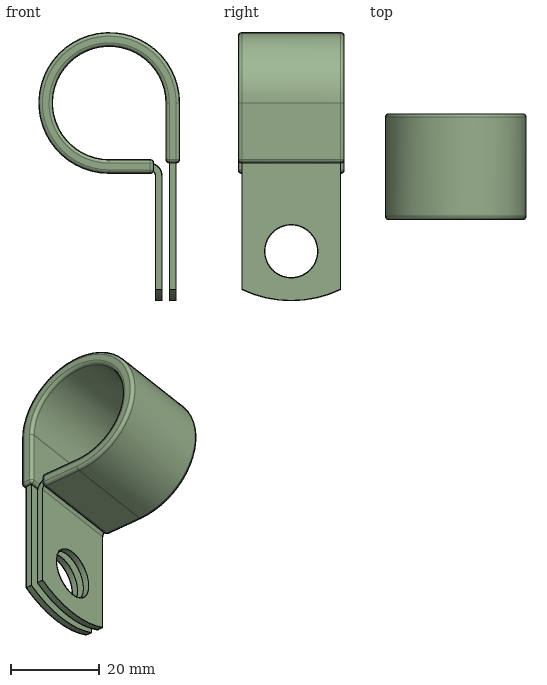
import cadquery as cq
import math

loop_diameter = 31.6
total_height = 60.25
cushion_width = 23.8
strap_thickness = 1.5
cover = 0.8
side_cushion_length = 13.45
base_cushion_length = 10.0
flange_outer_x = 11.85
bend_inner_radius = 1.3
hole_diameter = 11.85
hole_drop = 33.3
tip_sag = 2.5

cushion_outer = loop_diameter / 2
strap_outer = cushion_outer - cover
strap_inner = strap_outer - strap_thickness
cushion_inner = strap_inner - cover
strap_width = cushion_width - 2 * cover
half_width = strap_width / 2
tip_z = cushion_outer - total_height
tip_corner_z = tip_z + tip_sag
flange_inner_x = flange_outer_x - strap_thickness
bend_outer_radius = bend_inner_radius + strap_thickness
bend_x = flange_inner_x - bend_inner_radius
bend_z = -strap_outer - bend_inner_radius
diagonal = math.sqrt(0.5)


def plate(outline, width):
    """Extrude an XZ outline symmetrically about the XZ plane."""
    return outline.close().extrude(width / 2, both=True)


def loop_band(inner, outer, side_length, base_length):
    """Three-quarter ring with a straight leg down and another along +X."""
    return (
        cq.Workplane("XZ")
        .moveTo(outer, -side_length)
        .lineTo(outer, 0)
        .threePointArc((-outer * diagonal, outer * diagonal), (0, -outer))
        .lineTo(base_length, -outer)
        .lineTo(base_length, -inner)
        .lineTo(0, -inner)
        .threePointArc((-inner * diagonal, inner * diagonal), (inner, 0))
        .lineTo(inner, -side_length)
    )


def make_cushion():
    """Cushion rounded along both sides and around both ends."""
    body = plate(
        loop_band(cushion_inner, cushion_outer, side_cushion_length, base_cushion_length),
        cushion_width,
    )
    side_end = cq.selectors.BoxSelector(
        (cushion_inner - cover, -cushion_width, -side_cushion_length - cover),
        (cushion_outer + cover, cushion_width, -side_cushion_length + cover),
    )
    base_end = cq.selectors.BoxSelector(
        (base_cushion_length - cover, -cushion_width, -cushion_outer - cover),
        (base_cushion_length + cover, cushion_width, -cushion_inner + cover),
    )
    rounded = body.faces("|Y").edges()
    rounded = rounded.add(body.edges("|Y").edges(side_end))
    rounded = rounded.add(body.edges("|Y").edges(base_end))
    return rounded.fillet(cover)


def make_strap():
    """Metal strip: loop, straight flange on +X and bent flange beside it."""
    loop = plate(loop_band(strap_inner, strap_outer, -tip_z, bend_x), strap_width)
    bent_flange = plate(
        cq.Workplane("XZ")
        .moveTo(bend_x, -strap_inner)
        .threePointArc(
            (bend_x + bend_outer_radius * diagonal, bend_z + bend_outer_radius * diagonal),
            (flange_outer_x, bend_z),
        )
        .lineTo(flange_outer_x, tip_z)
        .lineTo(flange_inner_x, tip_z)
        .lineTo(flange_inner_x, bend_z)
        .threePointArc(
            (bend_x + bend_inner_radius * diagonal, bend_z + bend_inner_radius * diagonal),
            (bend_x, -strap_outer),
        ),
        strap_width,
    )
    return loop.union(bent_flange)


def make_flange_profile():
    """Strap silhouette along X, with the rounded tip at the bottom."""
    return (
        cq.Workplane("YZ")
        .moveTo(-half_width, cushion_outer)
        .lineTo(-half_width, tip_corner_z)
        .threePointArc((0, tip_z), (half_width, tip_corner_z))
        .lineTo(half_width, cushion_outer)
        .close()
        .extrude(cushion_outer, both=True)
    )


def make_bolt_hole():
    """Cylinder through both flanges."""
    return (
        cq.Workplane("YZ")
        .center(0, -hole_drop)
        .circle(hole_diameter / 2)
        .extrude(cushion_outer)
    )


strap = make_strap().intersect(make_flange_profile()).cut(make_bolt_hole())
result = make_cushion().union(strap)